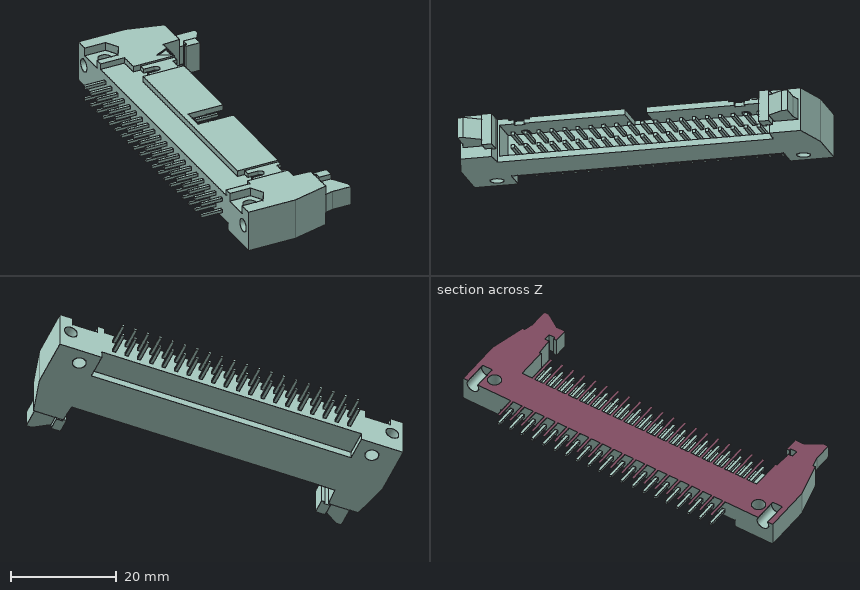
import cadquery as cq
import math


housing_length = 70.4
housing_height = 8.5
half_length = housing_length / 2
mid_height = housing_height / 2
straight_side_depth = 10.0
mating_face_y = 13.8
arm_end_y = 17.4
arm_outer_x = 33.3
arm_inner_end_x = 27.2
arm_inner_root_x = 26.95

wall_thickness = 1.2
cavity_floor_y = 7.4
cavity_half_width = 26.6

step_depth_y = 5.1
top_step_length = 51.95
bottom_step_height = 1.55

pins_per_row = 20
pitch = 2.5
pin_size = 0.6
tail_length = 4.5
pin_tip_y = 13.6
first_pin_x = -(pins_per_row - 1) / 2 * pitch

hole_diameter = 2.6
ear_hole_x = 30.0
ear_hole_y = 2.95
nut_across_flats = 5.1
nut_pocket_depth = 1.7
tail_hole_x = 32.95
tail_hole_z = mid_height + 0.2
tail_hole_depth = 4.9

groove_centres = (-8 * pitch, 9 * pitch)
groove_width = 4.1
groove_depth = 0.35
groove_floor_end_y = 6.6
window_width = 1.55
window_end_y = 9.6
notch_width = 2.0
notch_depth = 0.85

keyway_width = 4.15
keyway_end_y = 6.35

marker_base_y = 13.6
marker_width = 2.6
marker_length = 2.6
marker_depth = 0.3

latch_thickness = 4.0
latch_outer_x = 32.3
latch_root_x = 32.8
latch_inner_x = 28.1
latch_knee_y = 19.3
latch_end_y = 23.3
latch_tip_x = 31.2
hook_thickness = 6.1
hook_end_x = 26.1
hook_top_y = 21.25
hook_bottom_y = 18.65
hook_lip_y = 18.2
hook_lip_width = 0.7


def box(x_min, x_max, y_min, y_max, z_min, z_max):
    size = (x_max - x_min, y_max - y_min, z_max - z_min)
    return cq.Workplane("XY").box(*size, centered=False).translate((x_min, y_min, z_min))


def top_cut(x_centre, width, y_min, y_max, depth):
    """Rectangular cutter sunk from the top face."""
    x_min = x_centre - width / 2
    return box(x_min, x_min + width, y_min, y_max, housing_height - depth, housing_height)


def both_ends(shape):
    """The shape together with its mirror image across X = 0."""
    return shape.union(shape.mirror("YZ"))


def housing():
    right_side = [
        (half_length, 0),
        (half_length, straight_side_depth),
        (arm_outer_x, arm_end_y),
        (arm_inner_end_x, arm_end_y),
        (arm_inner_root_x, mating_face_y),
    ]
    left_side = [(-x, y) for x, y in reversed(right_side)]
    body = cq.Workplane("XY").polyline(right_side + left_side).close().extrude(housing_height)
    cavity = box(
        -cavity_half_width, cavity_half_width, cavity_floor_y, arm_end_y,
        wall_thickness, housing_height - wall_thickness,
    )
    bottom_step = box(-cavity_half_width, cavity_half_width, 0, step_depth_y, 0, bottom_step_height)
    top_step = top_cut(0, top_step_length, 0, step_depth_y, wall_thickness)
    keyway = top_cut(0, keyway_width, keyway_end_y, mating_face_y, wall_thickness)
    return body.cut(cavity).cut(bottom_step).cut(top_step).cut(keyway)


def groove_cutter(x):
    groove = top_cut(x, groove_width, step_depth_y, mating_face_y, groove_depth)
    low_floor = top_cut(x, groove_width, step_depth_y, groove_floor_end_y, wall_thickness)
    notch = top_cut(x, notch_width, mating_face_y - notch_depth, mating_face_y, wall_thickness)
    round_centre_y = window_end_y - window_width / 2
    window = top_cut(x, window_width, groove_floor_end_y, round_centre_y, wall_thickness)
    window_round = (
        cq.Workplane("XY", origin=(x, round_centre_y, housing_height))
        .circle(window_width / 2)
        .extrude(-wall_thickness)
    )
    return groove.union(low_floor).union(notch).union(window).union(window_round)


def ear_cutter():
    """Mounting hole, hexagon nut pocket open to the tail face, and blind tail hole."""
    hole = (
        cq.Workplane("XY", origin=(ear_hole_x, ear_hole_y, 0))
        .circle(hole_diameter / 2)
        .extrude(housing_height)
    )
    corner_diameter = nut_across_flats / math.cos(math.pi / 6)
    hexagon = (
        cq.Workplane("XY", origin=(ear_hole_x, ear_hole_y, housing_height))
        .transformed(rotate=(0, 0, 90))
        .polygon(6, corner_diameter)
        .extrude(-nut_pocket_depth)
    )
    opening = top_cut(ear_hole_x, nut_across_flats, 0, ear_hole_y, nut_pocket_depth)
    tail_hole = (
        cq.Workplane("XZ", origin=(tail_hole_x, 0, tail_hole_z))
        .circle(hole_diameter / 2)
        .extrude(-tail_hole_depth)
    )
    return both_ends(hole.union(hexagon).union(opening).union(tail_hole))


def marker_cutter():
    corners = [
        (first_pin_x - marker_width / 2, marker_base_y),
        (first_pin_x + marker_width / 2, marker_base_y),
        (first_pin_x, marker_base_y - marker_length),
    ]
    top = cq.Workplane("XY", origin=(0, 0, housing_height))
    return top.polyline(corners).close().extrude(-marker_depth)


def latches():
    lever_outline = [
        (latch_root_x, arm_end_y),
        (latch_outer_x, latch_knee_y),
        (latch_outer_x, latch_end_y),
        (latch_tip_x, latch_end_y),
        (latch_inner_x, hook_top_y),
        (latch_inner_x, arm_end_y),
    ]
    lip_x = hook_end_x + hook_lip_width
    hook_outline = [
        (latch_inner_x, hook_top_y),
        (hook_end_x, hook_top_y),
        (hook_end_x, hook_lip_y),
        (lip_x, hook_lip_y),
        (lip_x, hook_bottom_y),
        (latch_inner_x, hook_bottom_y),
    ]
    middle = cq.Workplane("XY", origin=(0, 0, mid_height))
    lever = middle.polyline(lever_outline).close().extrude(latch_thickness / 2, both=True)
    hook = middle.polyline(hook_outline).close().extrude(hook_thickness / 2, both=True)
    return both_ends(lever.union(hook))


def pins():
    """Two rows of square pins, from the tails through the cavity floor to the tips."""
    return (
        cq.Workplane("XZ", origin=(0, pin_tip_y, mid_height))
        .rarray(pitch, pitch, pins_per_row, 2)
        .rect(pin_size, pin_size)
        .extrude(pin_tip_y + tail_length)
    )


result = housing().cut(ear_cutter()).cut(marker_cutter())
for groove_x in groove_centres:
    result = result.cut(groove_cutter(groove_x))
result = result.union(latches()).union(pins())